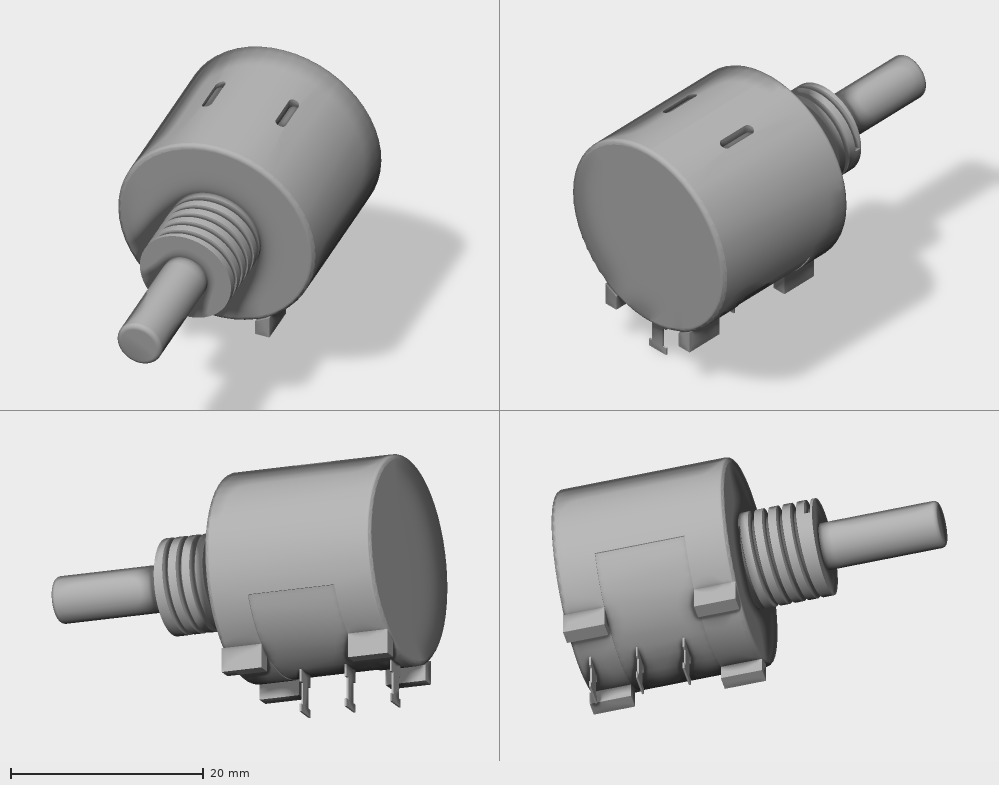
import cadquery as cq


overall_length = 39.23
overall_height = 26.65

housing_diameter = 22.225
housing_length = 18.58
housing_edge_radius = 0.5
housing_radius = housing_diameter / 2

bushing_diameter = 10.3
bushing_length = 8.0
bushing_radius = bushing_diameter / 2
thread_pitch = 1.51
thread_turns = 5
groove_depth = 0.93
groove_width = 0.64
groove_root_width = 0.25
groove_front_setback = 0.53
groove_cut_margin = 0.1

shaft_diameter = 5.0
shaft_length = overall_length - housing_length - bushing_length
shaft_edge_radius = 0.5

foot_width = 1.6
foot_length = 4.45
foot_outer_x = 6.12
foot_bottom_z = -11.86

terminal_thickness = 0.2
terminal_width = 2.5
terminal_neck_width = 1.53
terminal_bottom_z = housing_radius - overall_height
terminal_flange_height = 0.86
terminal_shoulder_z = -12.3
terminal_pitch = 5.05
terminal_first_y = 6.9
terminal_count = 3

window_depth = 0.1
window_top_z = -5.0

slot_length = 4.6
slot_width = 1.1
slot_offset_x = 4.15
slot_center_y = 9.5
slot_floor_z = 9.5

embed_depth = 3.0


def cylinder_along_y(diameter, front_y, length):
    """Make a cylinder whose seam runs along its top (+Z) side."""
    plane = cq.Plane(origin=(0, front_y, 0), xDir=(0, 0, 1), normal=(0, 1, 0))
    return cq.Workplane(plane).circle(diameter / 2).extrude(length)


def box_between(x_range, y_range, z_range):
    size = [high - low for low, high in (x_range, y_range, z_range)]
    corner = (x_range[0], y_range[0], z_range[0])
    return cq.Workplane("XY").box(*size, centered=False).translate(corner)


def make_housing():
    housing = cylinder_along_y(housing_diameter, 0, housing_length)
    return housing.edges("%CIRCLE").fillet(housing_edge_radius)


def make_window():
    """Make the thin shell removed from the lower side of the housing, between the feet."""
    window_length = housing_length - 2 * foot_length
    core = cylinder_along_y(housing_diameter - 2 * window_depth, foot_length, window_length)
    block = box_between(
        (-housing_radius, housing_radius),
        (foot_length, foot_length + window_length),
        (-housing_radius, window_top_z),
    )
    return block.cut(core)


def make_thread_groove():
    """Sweep the tapered section along a helix that starts on the -X side near the front."""
    start_y = groove_front_setback - bushing_length
    height = thread_pitch * thread_turns
    helix = cq.Wire.makeHelix(thread_pitch, height, bushing_radius)

    outer_radius = bushing_radius + groove_cut_margin
    root_radius = bushing_radius - groove_depth
    half_root = groove_root_width / 2
    flank_slope = (groove_width / 2 - half_root) / groove_depth
    half_width = half_root + flank_slope * (outer_radius - root_radius)
    section = cq.Workplane("XZ").polyline([
        (root_radius, half_root),
        (root_radius, -half_root),
        (outer_radius, -half_width),
        (outer_radius, half_width),
    ]).close()
    groove = section.sweep(cq.Workplane(helix), isFrenet=True)

    groove = groove.rotate((0, 0, 0), (0, 0, 1), 180)
    groove = groove.rotate((0, 0, 0), (1, 0, 0), -90)
    return groove.translate((0, start_y, 0))


def make_bushing():
    bushing = cylinder_along_y(bushing_diameter, -bushing_length, bushing_length)
    return bushing.cut(make_thread_groove())


def make_shaft():
    tip_y = -bushing_length - shaft_length
    shaft = cylinder_along_y(shaft_diameter, tip_y, shaft_length)
    return shaft.faces("<Y").edges().fillet(shaft_edge_radius)


def make_feet():
    feet = cq.Workplane("XY")
    foot_top_z = foot_bottom_z + embed_depth
    for inner_x in (-foot_outer_x, foot_outer_x - foot_width):
        for front_y in (0, housing_length - foot_length):
            feet = feet.union(box_between(
                (inner_x, inner_x + foot_width),
                (front_y, front_y + foot_length),
                (foot_bottom_z, foot_top_z),
            ))
    return feet.cut(cylinder_along_y(housing_diameter, 0, housing_length))


def make_terminal(center_y):
    half_width = terminal_width / 2
    half_neck = terminal_neck_width / 2
    flange_top_z = terminal_bottom_z + terminal_flange_height
    top_z = terminal_shoulder_z + embed_depth
    right_side = [
        (half_width, terminal_bottom_z),
        (half_width, flange_top_z),
        (half_neck, flange_top_z),
        (half_neck, terminal_shoulder_z),
        (half_width, terminal_shoulder_z),
        (half_width, top_z),
    ]
    left_side = [(-x, z) for x, z in reversed(right_side)]
    plane = cq.Workplane("XZ", origin=(0, center_y, 0))
    return plane.polyline(right_side + left_side).close().extrude(terminal_thickness / 2, both=True)


def make_slots():
    plane = cq.Workplane("XY", origin=(0, slot_center_y, slot_floor_z))
    slots = plane.pushPoints([(-slot_offset_x, 0), (slot_offset_x, 0)])
    return slots.slot2D(slot_length, slot_width, 90).extrude(housing_radius - slot_floor_z)


result = make_housing().cut(make_window()).cut(make_slots())
result = result.union(make_bushing()).union(make_shaft()).union(make_feet())
for index in range(terminal_count):
    result = result.union(make_terminal(terminal_first_y + index * terminal_pitch))